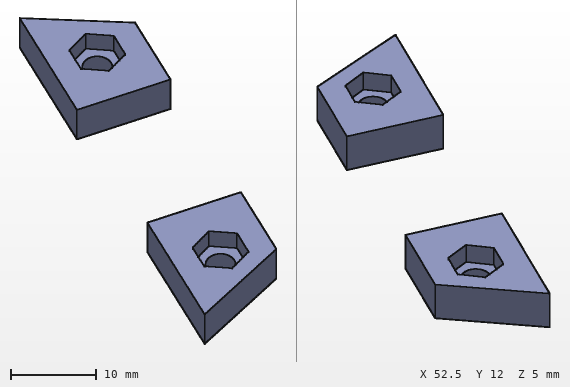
import cadquery as cq

overall_length = 52.55
block_depth = 12.0
block_height = 5.0

block_length = 16.3
slant_run = 6.2

hole_from_tip = 8.8
hole_diameter = 3.5
nut_corner_diameter = 6.55
nut_pocket_depth = 2.5


def make_block(side):
    """Build one block; side is -1 for the left block and +1 for the right one."""
    tip_x = side * overall_length / 2
    inner_x = tip_x - side * block_length
    slant_top_x = tip_x - side * slant_run
    hole_x = tip_x - side * hole_from_tip
    front_y = -block_depth / 2
    back_y = block_depth / 2

    body = (
        cq.Workplane("XY")
        .polyline([(tip_x, front_y), (inner_x, front_y), (inner_x, back_y), (slant_top_x, back_y)])
        .close()
        .extrude(block_height)
    )

    bolt_hole = cq.Workplane("XY").center(hole_x, 0).circle(hole_diameter / 2).extrude(block_height)

    nut_pocket = (
        cq.Workplane("XY", origin=(0, 0, block_height))
        .center(hole_x, 0)
        .polygon(6, nut_corner_diameter)
        .extrude(-nut_pocket_depth)
    )
    return body.cut(bolt_hole).cut(nut_pocket)


blocks = [make_block(side) for side in (-1, 1)]

result = cq.Compound.makeCompound([block.val() for block in blocks])